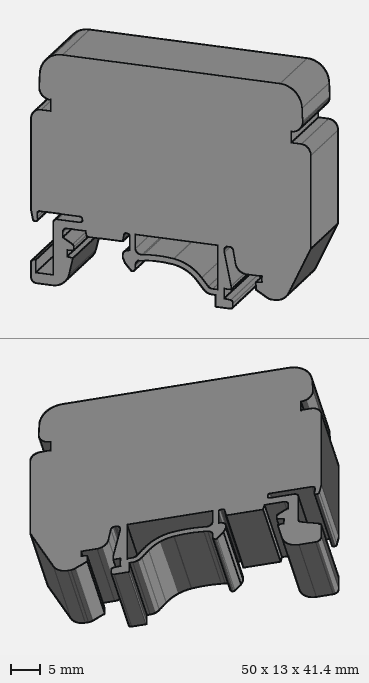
import cadquery as cq
import math


LENGTH = 50.0
WIDTH = 13.0
HEIGHT = 41.4

HEAD_INSET = 1.75
HEAD_BULGE_INSET = 1.35
HEAD_BOTTOM = 33.1
HEAD_CORNER_RADIUS = 4.0
HEAD_BULGE_RADIUS = 2.0
NECK_INSET = 3.5
SHOULDER_Z = 31.1
SHOULDER_RADIUS = 1.75

CEILING_Z = 11.05
PAD_Z = 9.5
PAD_LEFT = 10.0
PAD_RIGHT = 16.4
FINGER_GROOVE_RADIUS = 0.45
PAD_STEP_RUN = 0.25

SLOT_TOP = 12.95
SLOT_BOTTOM = 11.9
SLOT_END = 9.2
SLOT_CORNER_RADIUS = 0.5
LIP_TAPER_Z = 13.0
LIP_BOTTOM = 11.05
LIP_TIP_LEFT = 0.4
LIP_TIP_RIGHT = 1.35
LIP_TIP_RADIUS = 0.4
LIP_INNER = 1.1

ARM_LEFT = 3.95
ARM_RIGHT = 5.7
ARM_CORNER_RADIUS = 0.7
ARM_SHELF_Z = 10.5
UPPER_TOOTH_TIP = 7.65
UPPER_TOOTH_BOTTOM = 6.75
UPPER_TOOTH_TOP = 7.7
UPPER_TOOTH_ROOT_Z = 8.85
TOOTH_RADIUS = 0.5
RAIL_NOTCH_X = 6.45
NOTCH_SLOPE = 0.15
LOWER_TOOTH_TIP = 7.5
LOWER_TOOTH_TOP = 5.35
HEEL_X = 6.25
HEEL_RADIUS = 3.0
TOE_RADIUS = 1.0
TROUGH_FLOOR = 1.9
TROUGH_WALL = 0.85
TROUGH_WALL_TOP = 4.15
TROUGH_RIM_RADIUS = 0.5

WEB_THICKNESS = 1.0
WEB_LEFT = 0.4
WEB_RIGHT_Z = 5.35
WEB_FILLET = 0.75

STRUT_LEFT = 17.65
STRUT_RIGHT = 18.65
FINGER_LEFT = 16.4
FINGER_TOP = 8.1
FINGER_TOP_FALL = 0.4
FINGER_SIDE_Z = 6.6
FINGER_KNEE_X = 16.8
FINGER_KNEE_Z = 5.7
FINGER_TIP_X = 18.15
FINGER_TIP_Z = 4.2
FINGER_RIGHT_Z = 4.8
FINGER_TOP_RADIUS = 0.75
FINGER_TIP_RADIUS = 0.35

BOW_THICKNESS = 1.05
BOW_TOP = 7.8
BOW_CREST_X = 22.75
BOW_CREST_RADIUS = 22.0
BOW_CREST_SLOPE = math.tan(math.radians(7))
BOW_BEND_RADIUS = 7.75
BOW_DESCENT_ANGLE = math.radians(50)
BOW_FOOT_TOP = 3.15
BOW_FOOT_X = 31.95
BOW_FOOT_RADIUS = 1.0
BOW_ROOT_RADIUS = 1.0

POST_LEFT = 33.35
FOOT_LEFT = 32.95
FOOT_RIGHT = 36.1
FOOT_TOP = 1.7
FOOT_RADIUS = 0.5
FOOT_HEEL_RADIUS = 0.2
POST_TAPER_TOP = 10.0
POST_NOTCH_X = 34.5
POST_BARB_X = 35.75
POST_BARB_BOTTOM = 3.45
POST_BARB_TOP = 4.15

GROOVE_LEFT = 34.55
GROOVE_RIGHT = 36.05
GROOVE_RADIUS = 0.7
GROOVE_MOUTH_X = 36.85
GROOVE_MOUTH_RADIUS = 2.0
HOOK_CEILING = 6.55
HOOK_NOTCH_X = 41.25
HOOK_NOTCH_Z = 5.5
HOOK_TIP_X = 40.2
HOOK_TIP_Z = 4.0
HOOK_BOTTOM = 2.6
HOOK_BOTTOM_LEFT = 42.6
HOOK_BOTTOM_RIGHT = 45.3
HOOK_TOE_RADIUS = 1.5
HOOK_HEEL_RADIUS = 2.75
FLANK_Z = 12.6


def unit_vector(start, end):
    dx = end[0] - start[0]
    dz = end[1] - start[1]
    size = math.hypot(dx, dz)
    return dx / size, dz / size


def corner_arc(before, corner, after, radius):
    """Start, middle and end of the arc that rounds a corner."""
    back = unit_vector(corner, before)
    ahead = unit_vector(corner, after)
    half = math.acos(back[0] * ahead[0] + back[1] * ahead[1]) / 2
    setback = radius / math.tan(half)
    bisector = unit_vector((0, 0), (back[0] + ahead[0], back[1] + ahead[1]))
    to_middle = radius / math.sin(half) - radius
    start = (corner[0] + back[0] * setback, corner[1] + back[1] * setback)
    middle = (corner[0] + bisector[0] * to_middle, corner[1] + bisector[1] * to_middle)
    end = (corner[0] + ahead[0] * setback, corner[1] + ahead[1] * setback)
    return start, middle, end


def rounded_prism(corners, thickness=WIDTH, front=0.0):
    """Extrude a closed outline of (x, z) or (x, z, corner radius) toward +Y."""
    outline = cq.Workplane("XZ", origin=(0, front, 0))
    for index, corner in enumerate(corners):
        before = corners[index - 1]
        after = corners[(index + 1) % len(corners)]
        if len(corner) == 3:
            start, middle, end = corner_arc(before, corner, after, corner[2])
        else:
            start = corner
        outline = outline.moveTo(*start) if index == 0 else outline.lineTo(*start)
        if len(corner) == 3:
            outline = outline.threePointArc(middle, end)
    return outline.close().extrude(-thickness)


def head_side():
    """Left side of the head and shoulder, from the shoulder up."""
    return [
        (0, SHOULDER_Z, SHOULDER_RADIUS),
        (NECK_INSET, SHOULDER_Z),
        (NECK_INSET, HEAD_BOTTOM),
        (HEAD_BULGE_INSET, HEAD_BOTTOM, HEAD_BULGE_RADIUS),
        (HEAD_INSET, HEIGHT, HEAD_CORNER_RADIUS),
    ]


def make_housing():
    left_side = head_side()
    right_side = [(LENGTH - x, z, *radius) for x, z, *radius in reversed(left_side)]
    hook = [
        (LENGTH, FLANK_Z),
        (HOOK_BOTTOM_RIGHT, HOOK_BOTTOM, HOOK_HEEL_RADIUS),
        (HOOK_BOTTOM_LEFT, HOOK_BOTTOM, HOOK_TOE_RADIUS),
        (HOOK_TIP_X, HOOK_TIP_Z),
        (HOOK_TIP_X, HOOK_NOTCH_Z - NOTCH_SLOPE),
        (HOOK_NOTCH_X, HOOK_NOTCH_Z),
        (HOOK_NOTCH_X, HOOK_CEILING),
        (GROOVE_MOUTH_X, HOOK_CEILING, GROOVE_MOUTH_RADIUS),
    ]
    underside = [
        (GROOVE_RIGHT, CEILING_Z, GROOVE_RADIUS),
        (GROOVE_LEFT, CEILING_Z, GROOVE_RADIUS),
        (GROOVE_LEFT, HOOK_CEILING),
        (POST_LEFT, HOOK_CEILING),
        (POST_LEFT, CEILING_Z),
        (STRUT_RIGHT, CEILING_Z),
        (STRUT_RIGHT, PAD_Z),
        (STRUT_LEFT, PAD_Z),
        (STRUT_LEFT, CEILING_Z, FINGER_GROOVE_RADIUS),
        (PAD_RIGHT + PAD_STEP_RUN, CEILING_Z, FINGER_GROOVE_RADIUS),
        (PAD_RIGHT, PAD_Z),
        (PAD_LEFT, PAD_Z),
        (PAD_LEFT - PAD_STEP_RUN, ARM_SHELF_Z),
    ]
    lip = [
        (SLOT_END, ARM_SHELF_Z),
        (SLOT_END, SLOT_TOP, SLOT_CORNER_RADIUS),
        (LIP_INNER, SLOT_TOP, SLOT_CORNER_RADIUS),
        (LIP_INNER, SLOT_BOTTOM),
        (LIP_TIP_RIGHT, LIP_BOTTOM, LIP_TIP_RADIUS),
        (LIP_TIP_LEFT, LIP_BOTTOM, LIP_TIP_RADIUS),
        (0, LIP_TAPER_Z),
    ]
    return rounded_prism(left_side + right_side + hook + underside + lip)


def make_left_foot():
    return rounded_prism([
        (ARM_LEFT, SLOT_BOTTOM, ARM_CORNER_RADIUS),
        (SLOT_END, SLOT_BOTTOM, SLOT_CORNER_RADIUS),
        (SLOT_END, SLOT_TOP),
        (PAD_LEFT - PAD_STEP_RUN, SLOT_TOP),
        (PAD_LEFT - PAD_STEP_RUN, ARM_SHELF_Z),
        (ARM_RIGHT, ARM_SHELF_Z, ARM_CORNER_RADIUS),
        (ARM_RIGHT, UPPER_TOOTH_ROOT_Z),
        (UPPER_TOOTH_TIP, UPPER_TOOTH_TOP, TOOTH_RADIUS),
        (UPPER_TOOTH_TIP, UPPER_TOOTH_BOTTOM),
        (RAIL_NOTCH_X, UPPER_TOOTH_BOTTOM - NOTCH_SLOPE),
        (RAIL_NOTCH_X, LOWER_TOOTH_TOP + NOTCH_SLOPE),
        (LOWER_TOOTH_TIP, LOWER_TOOTH_TOP),
        (HEEL_X, 0, HEEL_RADIUS),
        (0, 0, TOE_RADIUS),
        (0, TROUGH_WALL_TOP, TROUGH_RIM_RADIUS),
        (TROUGH_WALL, TROUGH_WALL_TOP),
        (TROUGH_WALL, TROUGH_FLOOR),
        (ARM_LEFT, TROUGH_FLOOR),
    ])


def make_trough_web():
    arm_middle = (ARM_LEFT + ARM_RIGHT) / 2
    corners = [
        (WEB_LEFT, TROUGH_FLOOR),
        (WEB_LEFT, TROUGH_WALL_TOP),
        (ARM_LEFT, WEB_RIGHT_Z, WEB_FILLET),
        (ARM_LEFT, UPPER_TOOTH_BOTTOM),
        (arm_middle, UPPER_TOOTH_BOTTOM),
        (arm_middle, TROUGH_FLOOR),
    ]
    return rounded_prism(corners, WEB_THICKNESS, WIDTH - WEB_THICKNESS)


def bow_face(depth):
    """Corners of one face of the bow, from the strut to the right foot.

    depth is the distance below the upper face.
    """
    crest_radius = BOW_CREST_RADIUS - depth
    crest_z = BOW_TOP - depth + crest_radius * (math.hypot(1, BOW_CREST_SLOPE) - 1)
    strut_z = crest_z - (BOW_CREST_X - STRUT_RIGHT) * BOW_CREST_SLOPE
    foot_x = BOW_FOOT_X - depth * math.tan(BOW_DESCENT_ANGLE / 2)
    foot_z = BOW_FOOT_TOP - depth
    descent = math.tan(BOW_DESCENT_ANGLE)
    drop_past_bend = crest_z - foot_z - (foot_x - BOW_CREST_X) * BOW_CREST_SLOPE
    bend_x = foot_x - drop_past_bend / (descent - BOW_CREST_SLOPE)
    bend_z = foot_z + (foot_x - bend_x) * descent
    return [
        (STRUT_RIGHT, strut_z, BOW_ROOT_RADIUS),
        (BOW_CREST_X, crest_z, crest_radius),
        (bend_x, bend_z, BOW_BEND_RADIUS - depth),
        (foot_x, foot_z, BOW_FOOT_RADIUS + depth),
    ]


def make_spring():
    """Strut, finger, bow and right foot in one outline."""
    bow_top = bow_face(0)
    bow_bottom = bow_face(BOW_THICKNESS)
    post = [
        (POST_LEFT, BOW_FOOT_TOP),
        (POST_LEFT, CEILING_Z),
        (GROOVE_LEFT, CEILING_Z),
        (GROOVE_LEFT, POST_TAPER_TOP),
        (POST_BARB_X, POST_BARB_TOP),
        (POST_BARB_X, POST_BARB_BOTTOM),
        (POST_NOTCH_X, POST_BARB_BOTTOM),
        (POST_NOTCH_X, FOOT_TOP),
        (FOOT_RIGHT, FOOT_TOP - NOTCH_SLOPE, FOOT_RADIUS),
        (FOOT_RIGHT, 0, FOOT_RADIUS),
        (FOOT_LEFT, 0, FOOT_HEEL_RADIUS),
        (FOOT_LEFT, BOW_FOOT_TOP - BOW_THICKNESS),
    ]
    finger = [
        (STRUT_RIGHT, FINGER_RIGHT_Z),
        (FINGER_TIP_X, FINGER_TIP_Z, FINGER_TIP_RADIUS),
        (FINGER_KNEE_X, FINGER_KNEE_Z),
        (FINGER_LEFT, FINGER_SIDE_Z),
        (FINGER_LEFT, FINGER_TOP - FINGER_TOP_FALL, FINGER_TOP_RADIUS),
        (STRUT_LEFT, FINGER_TOP),
        (STRUT_LEFT, PAD_Z),
        (STRUT_RIGHT, PAD_Z),
    ]
    return rounded_prism(bow_top + post + bow_bottom[::-1] + finger)


result = make_housing().union(make_left_foot()).union(make_spring()).union(make_trough_web())